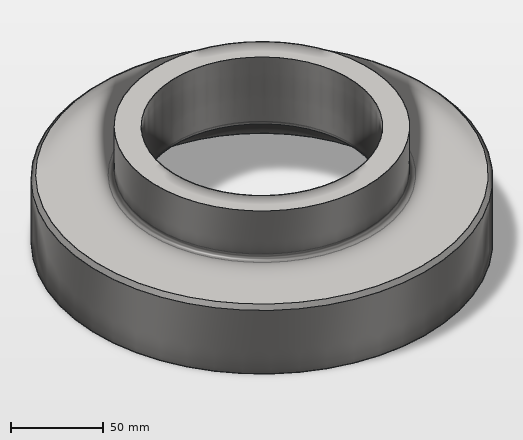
import cadquery as cq

flange_diameter = 250.0
flange_height = 44.5
total_height = 76.2
neck_diameter = 160.0
bore_diameter = 130.7
rim_chamfer = 2.5
neck_fillet = 3.2
recess_diameter = 204.5
recess_depth = 30.5
bore_fillet = 3.2

flange = (
    cq.Workplane("XY")
    .circle(flange_diameter / 2)
    .extrude(flange_height)
    .faces(">Z")
    .edges()
    .chamfer(rim_chamfer)
)

neck = cq.Workplane("XY").circle(neck_diameter / 2).extrude(total_height)
smallest_circle = cq.selectors.RadiusNthSelector(0)
flange_top = cq.selectors.NearestToPointSelector((0, 0, flange_height))
body = flange.union(neck).faces(flange_top).edges(smallest_circle).fillet(neck_fillet)

bore = cq.Workplane("XY").circle(bore_diameter / 2).extrude(total_height)
recess = cq.Workplane("XY").circle(recess_diameter / 2).extrude(recess_depth)
body = body.cut(bore).cut(recess)

recess_ceiling = cq.selectors.NearestToPointSelector((0, 0, recess_depth))
result = body.faces(recess_ceiling).edges(smallest_circle).fillet(bore_fillet)